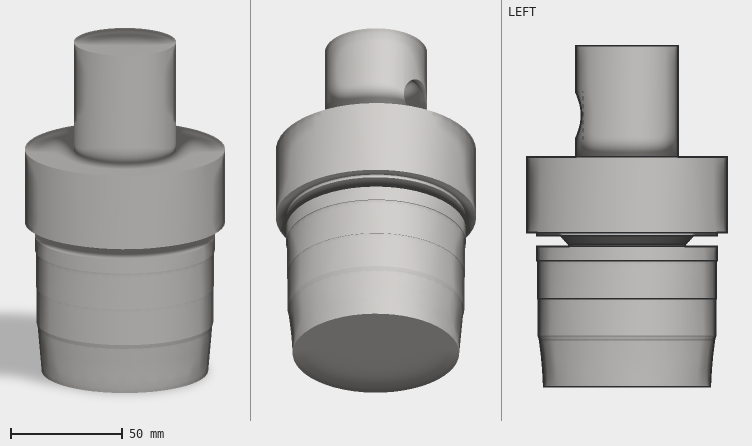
import cadquery as cq

total_height = 153.3
collar_top = 103.3
collar_bottom = 69.3
shoulder_bottom = 67.9
neck_cone_bottom = 64.1
flange_top = 63.2
flange_bottom = 56.5
upper_band_bottom = 39.7
lower_band_bottom = 23.0
nose_top = 21.2

shank_diameter = 46.0
collar_diameter = 90.0
flange_diameter = 81.0
neck_cone_diameter = 59.5
neck_diameter = 52.3
upper_band_diameter = 80.0
lower_band_diameter = 79.5
nose_top_diameter = 78.5
nose_bottom_diameter = 74.8

seat_diameter = 21.0
seat_height = 122.0
seat_depth = 3.0


def turned_section(bottom, top, bottom_diameter, top_diameter=None):
    """Cylinder or cone between two levels on the vertical axis."""
    if top_diameter is None:
        top_diameter = bottom_diameter
    outline = [
        (0, bottom),
        (bottom_diameter / 2, bottom),
        (top_diameter / 2, top),
        (0, top),
    ]
    return cq.Workplane("XZ").polyline(outline).close().revolve(360, (0, 0), (0, 1))


def clamping_seat():
    """Flat-bottomed cutter entering the shank along -Y."""
    seat_floor = shank_diameter / 2 - seat_depth
    return (
        cq.Workplane("XZ", origin=(0, seat_floor, seat_height))
        .circle(seat_diameter / 2)
        .extrude(-shank_diameter / 2)
    )


sections = [
    turned_section(nose_top, lower_band_bottom, nose_top_diameter, lower_band_diameter),
    turned_section(lower_band_bottom, upper_band_bottom, lower_band_diameter),
    turned_section(upper_band_bottom, flange_bottom, upper_band_diameter),
    turned_section(flange_bottom, flange_top, flange_diameter),
    turned_section(flange_top, neck_cone_bottom, neck_diameter),
    turned_section(neck_cone_bottom, shoulder_bottom, neck_diameter, neck_cone_diameter),
    turned_section(shoulder_bottom, collar_bottom, flange_diameter),
    turned_section(collar_bottom, collar_top, collar_diameter),
    turned_section(collar_top, total_height, shank_diameter),
]
body = turned_section(0, nose_top, nose_bottom_diameter, nose_top_diameter)
for section in sections:
    body = body.union(section)

result = body.cut(clamping_seat())